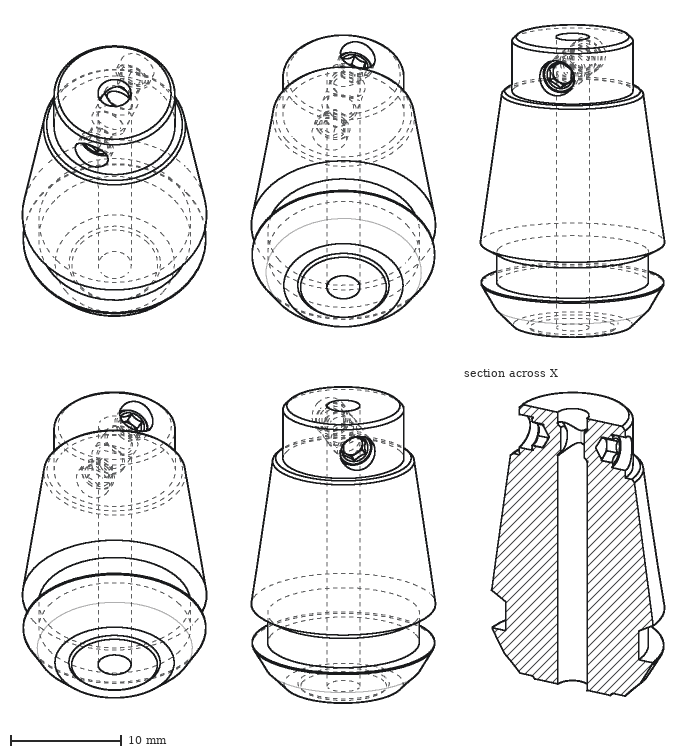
import cadquery as cq
import math

total_height = 27.0
bore_diameter = 3.0

collar_diameter = 11.0
collar_chamfer = 0.36

cone_top_z = 21.95
cone_top_chamfer = 0.28
cone_max_diameter = 16.76
cone_half_angle = 8.0

groove_diameter = 13.8
groove_top_z = 7.02
groove_lip_angle = 30.0

nose_top_z = 4.2
nose_diameter = 16.6
nose_rim_height = 0.15
nose_cone_angle = 30.0
nose_cone_height = 2.17
nose_bottom_z = 0.25
boss_diameter = 8.3

screw_axis_z = 24.3
screw_hole_diameter = 3.24
screw_tip_distance = 1.2
screw_tip_diameter = 2.5
screw_length = 3.0
screw_diameter = 4.0
screw_face_diameter = 2.96
socket_across_flats = 2.0
socket_depth = 1.2
socket_mouth_diameter = 2.45
drill_point_half_angle = 60.0


def tan_deg(angle):
    return math.tan(math.radians(angle))


def make_body():
    """Turned collet outline without any holes."""
    collar_r = collar_diameter / 2
    groove_r = groove_diameter / 2
    cone_max_r = cone_max_diameter / 2
    nose_r = nose_diameter / 2
    boss_r = boss_diameter / 2

    cone_base_z = groove_top_z + (cone_max_r - groove_r) * tan_deg(groove_lip_angle)
    cone_edge_z = cone_top_z - cone_top_chamfer
    cone_edge_r = cone_max_r - (cone_edge_z - cone_base_z) * tan_deg(cone_half_angle)
    nose_rim_z = nose_top_z - nose_rim_height
    nose_break_z = nose_rim_z - nose_cone_height
    nose_break_r = nose_r - nose_cone_height * tan_deg(nose_cone_angle)
    nose_bottom_r = nose_break_r - (nose_break_z - nose_bottom_z)

    outline = [
        (0, 0),
        (boss_r - nose_bottom_z, 0),
        (boss_r, nose_bottom_z),
        (nose_bottom_r, nose_bottom_z),
        (nose_break_r, nose_break_z),
        (nose_r, nose_rim_z),
        (nose_r, nose_top_z),
        (groove_r, nose_top_z),
        (groove_r, groove_top_z),
        (cone_max_r, cone_base_z),
        (cone_edge_r, cone_edge_z),
        (cone_edge_r - cone_top_chamfer, cone_top_z),
        (collar_r, cone_top_z),
        (collar_r, total_height - collar_chamfer),
        (collar_r - collar_chamfer, total_height),
        (0, total_height),
    ]
    return cq.Workplane("XZ").polyline(outline).close().revolve(360, (0, 0), (0, 1))


def make_bore():
    """Through bore along the collet axis."""
    return cq.Workplane("XY").circle(bore_diameter / 2).extrude(total_height)


def make_screw_hole():
    """Cross hole running through the collar along Y."""
    return (
        cq.Workplane("XZ", origin=(0, 0, screw_axis_z))
        .circle(screw_hole_diameter / 2)
        .extrude(collar_diameter, both=True)
    )


def make_screw():
    """Set screw along +Z with its tip at Z = 0 and a hexagon socket in its outer end."""
    screw_r = screw_diameter / 2
    tip_r = screw_tip_diameter / 2
    face_r = screw_face_diameter / 2
    outline = [
        (0, 0),
        (tip_r, 0),
        (screw_r, screw_r - tip_r),
        (screw_r, screw_length - (screw_r - face_r)),
        (face_r, screw_length),
        (0, screw_length),
    ]
    screw = cq.Workplane("XZ").polyline(outline).close().revolve(360, (0, 0), (0, 1))

    hexagon_diameter = socket_across_flats / math.cos(math.radians(30))
    socket = (
        cq.Workplane("XY", origin=(0, 0, screw_length))
        .transformed(rotate=(0, 0, 90))
        .polygon(6, hexagon_diameter)
        .extrude(-socket_depth)
    )
    drill_r = socket_across_flats / 2
    drill_bottom_z = screw_length - socket_depth
    drill_point = cq.Solid.makeCone(
        drill_r,
        0,
        drill_r / tan_deg(drill_point_half_angle),
        pnt=cq.Vector(0, 0, drill_bottom_z),
        dir=cq.Vector(0, 0, -1),
    )

    mouth_r = socket_mouth_diameter / 2
    mouth = cq.Solid.makeCone(
        mouth_r,
        0,
        mouth_r,
        pnt=cq.Vector(0, 0, screw_length),
        dir=cq.Vector(0, 0, -1),
    )
    return screw.cut(socket).cut(cq.Workplane(drill_point)).cut(cq.Workplane(mouth))


result = make_body().cut(make_bore()).cut(make_screw_hole())
for tilt in (90, -90):
    placed_screw = (
        make_screw()
        .translate((0, 0, screw_tip_distance))
        .rotate((0, 0, 0), (1, 0, 0), tilt)
        .translate((0, 0, screw_axis_z))
    )
    result = result.union(placed_screw)